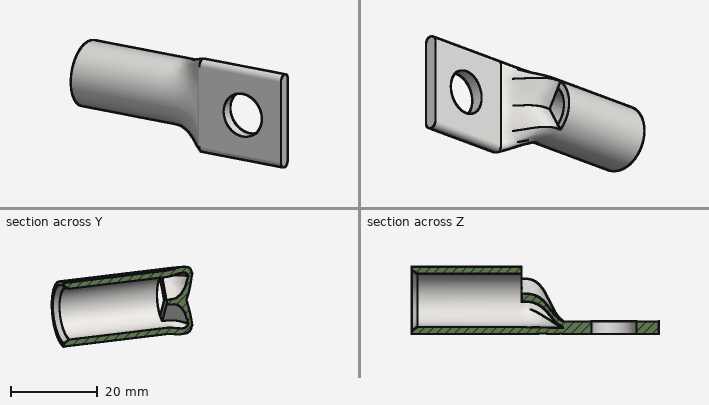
import cadquery as cq
import math

total_length = 57.15
barrel_radius = 7.8
wall = 1.65
barrel_length = 25.45
mouth_chamfer_width = 0.85
mouth_chamfer_depth = 1.3

palm_start = 35.0
palm_width = 22.65
palm_thickness = 3.05
hole_diameter = 10.35
hole_x = 46.75

fold_half_angle = math.radians(60)
fold_vertex_y = 1.6
back_edge_angle = math.radians(14)
front_edge_angle = math.radians(-16)
flattened_lip_z = 6.6

section_count = 6
fold_point_count = 3
edge_end_slope = 1.0
lip_end_slope = 0.0
lip_delay = 1.7
slit_thickness = 0.1

bore_radius = barrel_radius - wall
palm_radius = palm_thickness / 2
palm_mid_y = palm_radius - barrel_radius
palm_edge_z = palm_width / 2 - palm_radius


def blend(start, end, fraction, end_slope):
    """Move from start with zero initial slope and the given final slope."""
    weight = (3 - end_slope) * fraction**2 + (end_slope - 2) * fraction**3
    return tuple(a + (b - a) * weight for a, b in zip(start, end))


def on_circle(radius, angle):
    return (radius * math.sin(angle), radius * math.cos(angle))


def fold_points(radius, vertex_y):
    """Half outline (y, z) of a round tube with a V fold, from vertex to front."""
    along = vertex_y * math.cos(fold_half_angle)
    reach = -along + math.sqrt(along**2 + radius**2 - vertex_y**2)
    lip = (vertex_y + reach * math.cos(fold_half_angle), reach * math.sin(fold_half_angle))
    lip_angle = math.atan2(*lip)
    return [
        (vertex_y, 0),
        lip,
        on_circle(radius, (lip_angle + back_edge_angle) / 2),
        on_circle(radius, back_edge_angle),
        on_circle(radius, (back_edge_angle + front_edge_angle) / 2),
        on_circle(radius, front_edge_angle),
        (-radius, 0),
    ]


def flat_points(thickness):
    """Matching half outline of a flat bar with rounded edges."""
    half = thickness / 2
    back = palm_mid_y + half
    front = palm_mid_y - half
    return [
        (back, 0),
        (back, flattened_lip_z),
        (back, (flattened_lip_z + palm_edge_z) / 2),
        (back, palm_edge_z),
        (palm_mid_y, palm_edge_z + half),
        (front, palm_edge_z),
        (front, 0),
    ]


def curve(x, start, middle, end):
    """Arc through three (y, z) points, or a line where they are in line."""
    a, b, c = [cq.Vector(x, *point) for point in (start, middle, end)]
    if (b - a).cross(c - b).Length < 3.27e-07:
        return cq.Edge.makeLine(a, c)
    return cq.Edge.makeThreePointArc(a, b, c)


def section(x, points):
    """Closed outline, symmetric about Z = 0."""
    vertex, lip, lip_mid, back, tip, front, front_mid = points
    low_lip, low_lip_mid, low_back, low_tip, low_front = [(y, -z) for y, z in points[1:6]]
    return cq.Wire.assembleEdges([
        cq.Edge.makeLine(cq.Vector(x, *vertex), cq.Vector(x, *lip)),
        curve(x, lip, lip_mid, back),
        curve(x, back, tip, front),
        curve(x, front, front_mid, low_front),
        curve(x, low_front, low_tip, low_back),
        curve(x, low_back, low_lip_mid, low_lip),
        cq.Edge.makeLine(cq.Vector(x, *low_lip), cq.Vector(x, *vertex)),
    ])


def neck_body(radius, vertex_y, end_thickness):
    """Loft from the folded tube outline to the flat bar outline."""
    start = fold_points(radius, vertex_y)
    end = flat_points(end_thickness)
    wires = []
    for i in range(section_count):
        fraction = i / (section_count - 1)
        x = barrel_length + (palm_start - barrel_length) * fraction
        fold = [
            blend(a, b, fraction**lip_delay, lip_end_slope)
            for a, b in zip(start[:fold_point_count], end[:fold_point_count])
        ]
        edge = [
            blend(a, b, fraction, edge_end_slope)
            for a, b in zip(start[fold_point_count:], end[fold_point_count:])
        ]
        wires.append(section(x, fold + edge))
    return cq.Workplane(cq.Solid.makeLoft(wires))


barrel = (
    cq.Workplane("YZ")
    .circle(barrel_radius)
    .circle(bore_radius)
    .extrude(barrel_length)
    .faces("<X")
    .edges("%CIRCLE")
    .edges(cq.selectors.RadiusNthSelector(0))
    .chamfer(mouth_chamfer_depth, mouth_chamfer_width)
)

inner_vertex_y = fold_vertex_y - wall / math.sin(fold_half_angle)
neck = neck_body(barrel_radius, fold_vertex_y, palm_thickness).cut(
    neck_body(bore_radius, inner_vertex_y, slit_thickness)
)

palm = (
    cq.Workplane("YZ", origin=(palm_start, palm_mid_y, 0))
    .slot2D(palm_width, palm_thickness, 90)
    .extrude(total_length - palm_start)
)
bolt_hole = (
    cq.Workplane("XZ", origin=(hole_x, 0, 0))
    .circle(hole_diameter / 2)
    .extrude(barrel_radius, both=True)
)
palm = palm.cut(bolt_hole)

result = barrel.union(neck).union(palm)